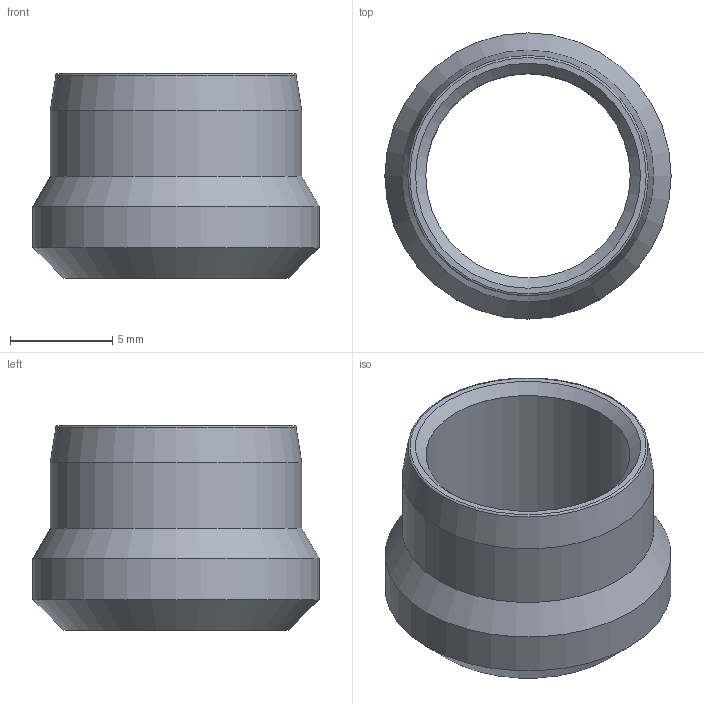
import cadquery as cq
import math

height = 10.0
collar_diameter = 14.0
sleeve_diameter = 12.3
bore_diameter = 10.0

bottom_chamfer = 1.5
shoulder_top_z = 5.0
taper_start_z = 8.2

shoulder_angle = 30.0
taper_angle = 9.0
countersink_angle = 45.0

countersink_diameter = 11.0
rim_radius = 0.1

collar_radius = collar_diameter / 2
sleeve_radius = sleeve_diameter / 2
bore_radius = bore_diameter / 2
countersink_radius = countersink_diameter / 2


def rise(radial_step, angle):
    """Axial length of a cone that changes radius by radial_step."""
    return radial_step / math.tan(math.radians(angle))


def make_body():
    """Solid of revolution: collar, shoulder cone, sleeve and top taper."""
    collar_top_z = shoulder_top_z - rise(collar_radius - sleeve_radius, shoulder_angle)
    top_radius = sleeve_radius - (height - taper_start_z) * math.tan(math.radians(taper_angle))
    profile = (
        cq.Workplane("XZ")
        .moveTo(0, 0)
        .lineTo(collar_radius - bottom_chamfer, 0)
        .lineTo(collar_radius, bottom_chamfer)
        .lineTo(collar_radius, collar_top_z)
        .lineTo(sleeve_radius, shoulder_top_z)
        .lineTo(sleeve_radius, taper_start_z)
        .lineTo(top_radius, height)
        .lineTo(0, height)
        .close()
    )
    body = profile.revolve(360, (0, 0, 0), (0, 1, 0))
    return body.faces(">Z").edges().fillet(rim_radius)


def make_bore():
    """Through bore with a conical flare at the top."""
    flare_depth = rise(countersink_radius - bore_radius, countersink_angle)
    profile = (
        cq.Workplane("XZ")
        .moveTo(0, 0)
        .lineTo(bore_radius, 0)
        .lineTo(bore_radius, height - flare_depth)
        .lineTo(countersink_radius, height)
        .lineTo(0, height)
        .close()
    )
    return profile.revolve(360, (0, 0, 0), (0, 1, 0))


result = make_body().cut(make_bore())